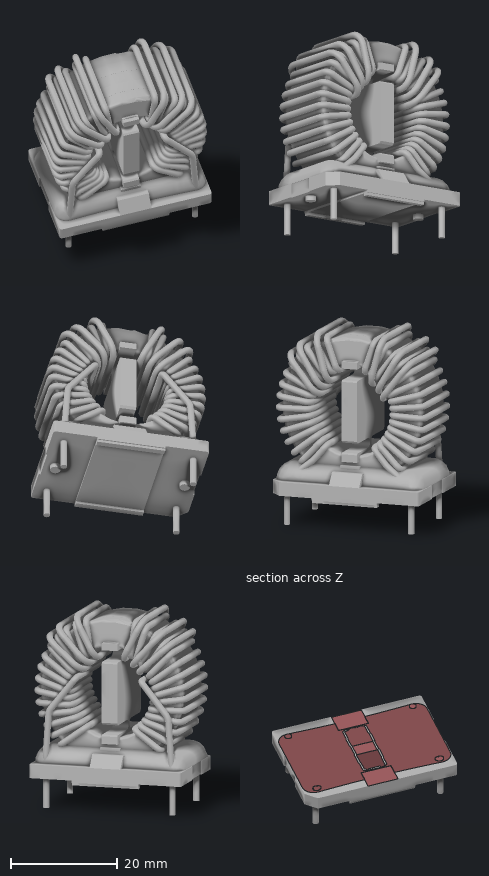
import cadquery as cq
import math


OVERALL_HEIGHT = 37.58

CASE_OUTER_DIAMETER = 28.2
CASE_RAISED_DIAMETER = 28.22
CASE_BORE_DIAMETER = 17.6
CASE_HALF_WIDTH = 6.2
CASE_OUTER_FILLET = 0.6
CASE_BORE_FILLET = 0.5
SHELL_STEP_X = 3.57
BAND_LEFT_X = -1.15
BAND_RIGHT_X = 1.35

WIRE_DIAMETER = 1.2
WIRE_RADIUS = WIRE_DIAMETER / 2
WIRE_CLEARANCE = 0.02
BEND_START_X = 5.67
TURN_PITCH = 9.0
LEVEL_TURN_ANGLE = -1.5
FIRST_TURN = -5
LAST_TURN = 8
SECOND_LAYER_OUTER_ANGLES = (65.2, 49.5, 39.9)
SECOND_LAYER_INNER_ANGLES = (68.2, 52.1, 37.2, 23.9)

LAYER_1_OUTER = CASE_RAISED_DIAMETER / 2 + WIRE_RADIUS
LAYER_1_INNER = CASE_BORE_DIAMETER / 2 - WIRE_RADIUS - WIRE_CLEARANCE
LAYER_1_X = CASE_HALF_WIDTH + WIRE_RADIUS + WIRE_CLEARANCE
LAYER_2_OUTER = LAYER_1_OUTER + WIRE_DIAMETER
LAYER_2_INNER = LAYER_1_INNER - WIRE_DIAMETER
LAYER_2_X = LAYER_1_X + WIRE_DIAMETER
LAYER_1_BEND = LAYER_1_X - BEND_START_X
LAYER_2_BEND = LAYER_2_X - BEND_START_X

PIN_X = 7.5
PIN_Y = 12.48
TOP_Z = LAYER_2_OUTER * math.sin(math.radians(SECOND_LAYER_OUTER_ANGLES[0])) + WIRE_RADIUS
PIN_END_Z = TOP_Z - OVERALL_HEIGHT
LEAD_BEND = 0.75
START_LEAD_KNEE = cq.Vector(-7.03, -7.33, -9.9)
START_LEAD_KNEE_BEND = 3.75
FINISH_LEAD_KNEE_BEND = 2.25
FINISH_LEAD_KNEE_Y = 11.8
FINISH_LEAD_KNEE_Z = -3.9

BASE_LENGTH_X = 20.6
BASE_LENGTH_Y = 30.0
BASE_TOP_Z = -13.9
BASE_THICKNESS = 2.63
BASE_BOTTOM_Z = BASE_TOP_Z - BASE_THICKNESS
KEY_CHAMFER = 2.0
BASE_CORNER_RADIUS = 0.5
NOTCH_WIDTH = 6.05
NOTCH_DEPTH = 0.3
FOOT_PLATE_WIDTH = 13.08
FOOT_PLATE_THICKNESS = 0.4
STANDOFF_HEIGHT = 0.95
RAIL_WIDTH = 1.05
RAIL_OUTER_X = 10.07
BOSS_DIAMETER = 2.0
CRADLE_WIDTH = 6.1
CRADLE_TOP_Z = -11.57
CRADLE_SLOPE_TOP_X = 8.53
CRADLE_TAB_WIDTH = 3.9
CRADLE_TAB_THICKNESS = 0.83
CRADLE_TAB_TOP_Z = -10.52

GLUE_LENGTH_X = 17.6
GLUE_LENGTH_Y = 29.7
GLUE_WAIST = 0.45
GLUE_TOP_Z = -10.6
GLUE_CORNER_RADIUS = 2.25
GLUE_TOP_FILLET = 3.1

DIVIDER_WIDTH = 3.1
DIVIDER_HALF_LENGTH = 7.35
DIVIDER_TOP_Z = 9.55
DIVIDER_BOTTOM_Z = -9.75
UPPER_SLOT_TOP_Z = 8.23
UPPER_SLOT_BOTTOM_Z = 5.98
LOWER_SLOT_TOP_Z = -6.1
LOWER_SLOT_BOTTOM_Z = -7.95
DIVIDER_WEB_HALF_LENGTH = 0.3
SLOT_FLOOR_CHAMFER = 0.3
LOWER_SLOT_ROOF_CHAMFER = 0.4
HOOK_LIP_DIAMETER = 19.55
HOOK_LIP_THICKNESS = 0.38


def ring(start_x, end_x, outer_diameter):
    """Ring around the X axis, with the case bore."""
    outline = cq.Workplane("YZ", origin=(start_x, 0, 0))
    return outline.circle(outer_diameter / 2).circle(CASE_BORE_DIAMETER / 2).extrude(end_x - start_x)


def make_end_shell(side, rim_x):
    """One end of the case: rounded at its outer face and slightly raised towards the middle."""
    face_x = side * CASE_HALF_WIDTH
    step_x = side * SHELL_STEP_X
    face_selector = ">X" if side > 0 else "<X"
    end = ring(min(face_x, step_x), max(face_x, step_x), CASE_OUTER_DIAMETER)
    end = end.faces(face_selector).edges(cq.selectors.RadiusNthSelector(1)).fillet(CASE_OUTER_FILLET)
    end = end.faces(face_selector).edges(cq.selectors.RadiusNthSelector(0)).fillet(CASE_BORE_FILLET)
    rim = ring(min(step_x, rim_x), max(step_x, rim_x), CASE_RAISED_DIAMETER)
    return end.union(rim)


def make_case_band():
    """Middle ring of the case, between the rims of the end shells."""
    return ring(BAND_LEFT_X, BAND_RIGHT_X, CASE_OUTER_DIAMETER)


def toroid_point(x, radius, angle):
    """Point at an angle above the -Y direction, seen along the toroid axis."""
    turn = math.radians(angle)
    return cq.Vector(x, -radius * math.cos(turn), radius * math.sin(turn))


def turn_angle(turn):
    return LEVEL_TURN_ANGLE + turn * TURN_PITCH


def winding_corners():
    """Corners of the wire from its -X pin to its +X pin, each with its bend radius."""
    corners = [
        (cq.Vector(-PIN_X, -PIN_Y, PIN_END_Z), 0),
        (cq.Vector(-PIN_X, -PIN_Y, BASE_TOP_Z), LEAD_BEND),
        (START_LEAD_KNEE, START_LEAD_KNEE_BEND),
    ]

    for turn in range(FIRST_TURN, LAST_TURN + 1):
        inner = turn_angle(turn - 1)
        outer = turn_angle(turn)
        corners += [
            (toroid_point(-LAYER_1_X, LAYER_1_INNER, inner), LAYER_1_BEND),
            (toroid_point(LAYER_1_X, LAYER_1_INNER, inner), LAYER_1_BEND),
            (toroid_point(LAYER_1_X, LAYER_1_OUTER, outer), LAYER_1_BEND),
            (toroid_point(-LAYER_1_X, LAYER_1_OUTER, outer), LAYER_1_BEND),
        ]

    bore_entry = (toroid_point(-LAYER_1_X, LAYER_1_INNER, turn_angle(LAST_TURN)), LAYER_1_BEND)
    inner_angles = SECOND_LAYER_INNER_ANGLES
    for inner, outer, next_inner in zip(inner_angles, SECOND_LAYER_OUTER_ANGLES, inner_angles[1:]):
        corners += [
            bore_entry,
            (toroid_point(LAYER_2_X, LAYER_2_INNER, inner), LAYER_2_BEND),
            (toroid_point(LAYER_2_X, LAYER_2_OUTER, outer), LAYER_2_BEND),
            (toroid_point(-LAYER_2_X, LAYER_2_OUTER, outer), LAYER_2_BEND),
        ]
        bore_entry = (toroid_point(-LAYER_2_X, LAYER_2_INNER, next_inner), LAYER_2_BEND)

    corners += [
        bore_entry,
        (toroid_point(LAYER_2_X, LAYER_2_INNER, inner_angles[-1]), LEAD_BEND),
        (cq.Vector(LAYER_2_X, -FINISH_LEAD_KNEE_Y, FINISH_LEAD_KNEE_Z), FINISH_LEAD_KNEE_BEND),
        (cq.Vector(LAYER_2_X, -PIN_Y, BASE_TOP_Z), LEAD_BEND),
        (cq.Vector(PIN_X, -PIN_Y, BASE_TOP_Z - BASE_THICKNESS / 2), LEAD_BEND),
        (cq.Vector(PIN_X, -PIN_Y, PIN_END_Z), 0),
    ]
    return corners


def rounded_path(corners):
    """Wire of straight runs joined by tangent arcs at the inner corners."""
    edges = []
    run_start = corners[0][0]
    for index in range(1, len(corners) - 1):
        corner, bend = corners[index]
        back = (corners[index - 1][0] - corner).normalized()
        ahead = (corners[index + 1][0] - corner).normalized()
        half_angle = back.getAngle(ahead) / 2
        setback = bend / math.tan(half_angle)
        middle = (back + ahead).normalized() * (bend / math.sin(half_angle) - bend)
        arc_start = corner + back * setback
        arc_end = corner + ahead * setback
        edges.append(cq.Edge.makeLine(run_start, arc_start))
        edges.append(cq.Edge.makeThreePointArc(arc_start, corner + middle, arc_end))
        run_start = arc_end
    edges.append(cq.Edge.makeLine(run_start, corners[-1][0]))
    return cq.Wire.assembleEdges(edges)


def make_winding():
    """The winding on the -Y half, with its leads and pins."""
    corners = winding_corners()
    start = corners[0][0]
    return cq.Workplane("XY", origin=start.toTuple()).circle(WIRE_RADIUS).sweep(rounded_path(corners))


def box_between(x0, x1, y0, y1, z0, z1):
    return cq.Workplane("XY").box(x1 - x0, y1 - y0, z1 - z0, centered=False).translate((x0, y0, z0))


def make_cradle():
    """Sloped block at -X that holds the case, with a tab against the case face."""
    slope = [
        (-BASE_LENGTH_X / 2, BASE_TOP_Z),
        (-CRADLE_SLOPE_TOP_X, CRADLE_TOP_Z),
        (-CASE_HALF_WIDTH, CRADLE_TOP_Z),
        (-CASE_HALF_WIDTH, BASE_TOP_Z),
    ]
    block = cq.Workplane("XZ").polyline(slope).close().extrude(CRADLE_WIDTH / 2, both=True)
    tab_half = CRADLE_TAB_WIDTH / 2
    tab_x = -CASE_HALF_WIDTH - CRADLE_TAB_THICKNESS
    tab = box_between(tab_x, -CASE_HALF_WIDTH, -tab_half, tab_half, BASE_TOP_Z, CRADLE_TAB_TOP_Z)
    return block.union(tab)


def make_base(case_ring):
    """Base with one key corner, a cradle on each long side, and rails and bosses underneath."""
    base = cq.Workplane("XY", origin=(0, 0, BASE_BOTTOM_Z)).rect(BASE_LENGTH_X, BASE_LENGTH_Y)
    base = base.extrude(BASE_THICKNESS)
    base = base.edges("|Z and <X and >Y").chamfer(KEY_CHAMFER)
    base = base.edges("|Z and (>X or (<X and <Y))").fillet(BASE_CORNER_RADIUS)
    for side in (-1, 1):
        notch = cq.Workplane("XY").box(NOTCH_WIDTH, 2 * NOTCH_DEPTH, 2 * BASE_THICKNESS)
        base = base.cut(notch.translate((0, side * BASE_LENGTH_Y / 2, BASE_BOTTOM_Z + BASE_THICKNESS / 2)))

    cradle = make_cradle()
    base = base.union(cradle).union(cradle.mirror("YZ"))

    underside = cq.Workplane("XY", origin=(0, 0, BASE_BOTTOM_Z))
    rail_centres = [(side * (RAIL_OUTER_X - RAIL_WIDTH / 2), 0) for side in (-1, 1)]
    boss_centres = [(0, side * PIN_Y) for side in (-1, 1)]
    base = base.union(underside.rect(BASE_LENGTH_X, FOOT_PLATE_WIDTH).extrude(-FOOT_PLATE_THICKNESS))
    rails = underside.pushPoints(rail_centres).rect(RAIL_WIDTH, FOOT_PLATE_WIDTH)
    base = base.union(rails.extrude(-STANDOFF_HEIGHT))
    base = base.union(underside.pushPoints(boss_centres).circle(BOSS_DIAMETER / 2).extrude(-STANDOFF_HEIGHT))
    return base.cut(case_ring)


def make_glue(case_ring, base):
    """Rounded glue bed on the base, moulded around everything that stands in it."""
    end_x = GLUE_LENGTH_X / 2
    end_y = GLUE_LENGTH_Y / 2
    outline = (
        cq.Workplane("XY", origin=(0, 0, BASE_TOP_Z))
        .moveTo(-end_x, -end_y)
        .lineTo(end_x, -end_y)
        .threePointArc((end_x - GLUE_WAIST, 0), (end_x, end_y))
        .lineTo(-end_x, end_y)
        .threePointArc((GLUE_WAIST - end_x, 0), (-end_x, -end_y))
        .close()
    )
    glue = outline.extrude(GLUE_TOP_Z - BASE_TOP_Z)
    glue = glue.edges("|Z").fillet(GLUE_CORNER_RADIUS)
    glue = glue.faces(">Z").edges().fillet(GLUE_TOP_FILLET)
    return glue.cut(case_ring).cut(base)


def make_slot(side, bottom_z, top_z, roof_chamfer=0):
    """Round-ended slot from one end of the divider to its central web.

    The floor is chamfered where it meets the end face, and the roof too if a size is given.
    """
    radius = (top_z - bottom_z) / 2
    web_x = side * DIVIDER_WEB_HALF_LENGTH
    straight_x = web_x + side * radius
    end_x = side * DIVIDER_HALF_LENGTH
    slot = cq.Workplane("XZ").moveTo(end_x, top_z + roof_chamfer)
    if roof_chamfer:
        slot = slot.lineTo(end_x - side * roof_chamfer, top_z)
    slot = (
        slot.lineTo(straight_x, top_z)
        .threePointArc((web_x, bottom_z + radius), (straight_x, bottom_z))
        .lineTo(end_x - side * SLOT_FLOOR_CHAMFER, bottom_z)
        .lineTo(end_x, bottom_z - SLOT_FLOOR_CHAMFER)
        .close()
    )
    return slot.extrude(DIVIDER_WIDTH, both=True)


def make_divider(case_ring):
    """Plate across the bore, with end bars that hook over the faces of the case."""
    half_width = DIVIDER_WIDTH / 2
    divider = box_between(
        -DIVIDER_HALF_LENGTH, DIVIDER_HALF_LENGTH, -half_width, half_width, DIVIDER_BOTTOM_Z, DIVIDER_TOP_Z
    )
    lip_half_length = CASE_HALF_WIDTH + HOOK_LIP_THICKNESS
    lip = cq.Workplane("YZ").circle(HOOK_LIP_DIAMETER / 2).extrude(lip_half_length, both=True)
    lip_zone = box_between(
        -lip_half_length, lip_half_length, -half_width, half_width, UPPER_SLOT_TOP_Z, HOOK_LIP_DIAMETER / 2
    )
    divider = divider.union(lip.intersect(lip_zone))
    for side in (-1, 1):
        divider = divider.cut(make_slot(side, UPPER_SLOT_BOTTOM_Z, UPPER_SLOT_TOP_Z))
        divider = divider.cut(make_slot(side, LOWER_SLOT_BOTTOM_Z, LOWER_SLOT_TOP_Z, LOWER_SLOT_ROOF_CHAMFER))
    return divider.cut(case_ring)


left_shell = make_end_shell(-1, BAND_LEFT_X)
right_shell = make_end_shell(1, BAND_RIGHT_X)
case_band = make_case_band()
case_ring = left_shell.union(case_band).union(right_shell)

front_winding = make_winding()
back_winding = front_winding.mirror("XZ")

base = make_base(case_ring)
glue = make_glue(case_ring, base)
for winding in (front_winding, back_winding):
    base = base.cut(winding)
    glue = glue.cut(winding)

divider = make_divider(case_ring)

bodies = [base, glue, left_shell, case_band, right_shell, divider, front_winding, back_winding]
result = cq.Compound.makeCompound([solid for body in bodies for solid in body.solids().vals()])